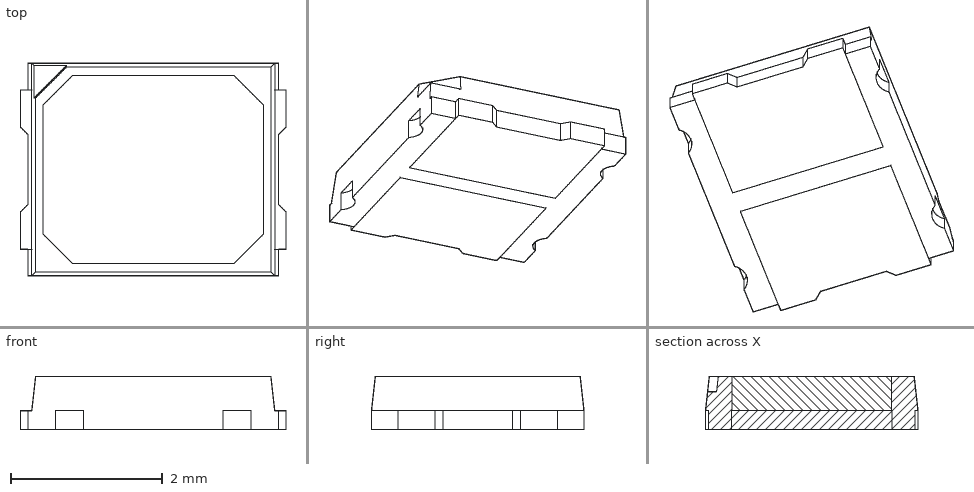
import cadquery as cq
import math

overall_length = 3.5
overall_width = 2.8
overall_height = 0.7

base_height = 0.25
tab_projection = 0.1
base_ledge = 0.05
frame_taper = 0.05
window_length = 2.9
window_width = 2.48
window_corner = 0.39

mark_leg = 0.41
mark_depth = 0.2

notch_chord = 0.37
notch_depth = 0.1
notch_offset = 1.1

lead_width = 2.1
tab_inner_offset = 0.46
lead_gap = 0.3

base_length = overall_length - 2 * tab_projection
frame_height = overall_height - base_height
foot_length = base_length - 2 * base_ledge
top_length = foot_length - 2 * frame_taper
top_width = overall_width - 2 * frame_taper
taper_angle = math.degrees(math.atan2(frame_taper, frame_height))
notch_radius = ((notch_chord / 2) ** 2 + notch_depth ** 2) / (2 * notch_depth)


def make_lead(side):
    """Flat lead with two tabs; side is -1 for the -X lead and +1 for the +X lead."""
    inner_x = side * lead_gap / 2
    root_x = side * base_length / 2
    tip_x = side * overall_length / 2
    edge_y = lead_width / 2
    slant_y = tab_inner_offset + tab_projection
    outline = [
        (inner_x, edge_y),
        (tip_x, edge_y),
        (tip_x, slant_y),
        (root_x, tab_inner_offset),
        (root_x, -tab_inner_offset),
        (tip_x, -slant_y),
        (tip_x, -edge_y),
        (inner_x, -edge_y),
    ]
    return cq.Workplane("XY").polyline(outline).close().extrude(base_height)


def make_window():
    """Octagonal encapsulant filling the cup from the lead tops to the top face."""
    return (
        cq.Workplane("XY", origin=(0, 0, base_height))
        .rect(window_length, window_width)
        .extrude(frame_height)
        .edges("|Z")
        .chamfer(window_corner)
    )


def make_polarity_mark():
    """Cutter for the -X +Y top corner; its diagonal wall leans along with the frame sides."""
    floor_z = overall_height - mark_depth
    mark_lean = mark_depth * frame_taper / frame_height
    reach = 2 * mark_leg

    def corner_triangle(plane, wall_shift):
        leg = mark_leg + reach - wall_shift
        corner_x = -top_length / 2 - reach / 2
        corner_y = top_width / 2 + reach / 2
        points = [(corner_x, corner_y), (corner_x + leg, corner_y), (corner_x, corner_y - leg)]
        return plane.polyline(points).close()

    floor = corner_triangle(cq.Workplane("XY", origin=(0, 0, floor_z)), mark_lean)
    return corner_triangle(floor.workplane(offset=mark_depth), 0).loft(ruled=True)


def make_notches():
    """Round vertical cutters that open the base layer on both long sides."""
    centre_y = overall_width / 2 - notch_depth + notch_radius
    centres = [(x, y) for x in (-notch_offset, notch_offset) for y in (-centre_y, centre_y)]
    return cq.Workplane("XY").pushPoints(centres).circle(notch_radius).extrude(base_height)


def make_housing(inserts):
    """Moulded base and tapered frame, recessed for the leads and the window."""
    base = cq.Workplane("XY").box(base_length, overall_width, base_height, centered=(True, True, False))
    frame = (
        cq.Workplane("XY", origin=(0, 0, base_height))
        .rect(foot_length, overall_width)
        .extrude(frame_height, taper=taper_angle)
    )
    body = base.cut(make_notches()).union(frame).cut(make_polarity_mark())
    for insert in inserts:
        body = body.cut(insert)
    return body


leads = [make_lead(side) for side in (-1, 1)]
window = make_window()
housing = make_housing([*leads, window])

result = cq.Compound.makeCompound([housing.val(), window.val(), *[lead.val() for lead in leads]])